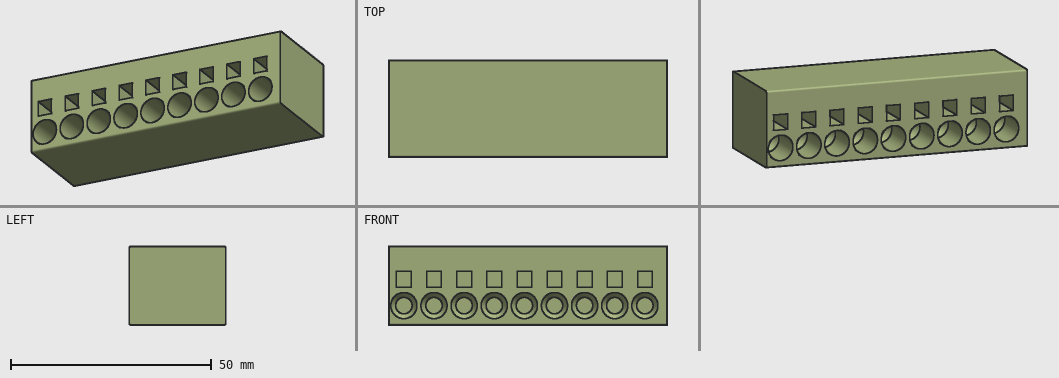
import cadquery as cq
import math

length = 69.3
depth = 24.1
height = 19.6
edge_radius = 0.5

pole_count = 9
end_wall = 1.8
pole_pitch = (length - end_wall) / pole_count
first_pole_x = pole_pitch / 2

bore_diameter = 6.5
cone_floor_diameter = 4.1
bore_depth = 10.0
cone_angle = 30.0
cone_depth = (bore_diameter - cone_floor_diameter) / 2 / math.tan(math.radians(cone_angle))
entry_center_z = 4.85

slot_width = 3.7
slot_height = 3.95
slot_depth = 10.0
slot_center_z = 11.4


def make_housing():
    """Block with its front face on Y = 0 and its four long edges rounded."""
    block = cq.Workplane("XY").box(length, depth, height, centered=False)
    return block.edges("|X").fillet(edge_radius)


def make_wire_entry(center_x):
    """Blind round recess, straight from the front face and narrowed by a cone to a flat floor."""
    profile = (
        cq.Workplane("XY")
        .lineTo(bore_diameter / 2, 0)
        .lineTo(bore_diameter / 2, bore_depth)
        .lineTo(cone_floor_diameter / 2, bore_depth + cone_depth)
        .lineTo(0, bore_depth + cone_depth)
        .close()
    )
    return profile.revolve(360, (0, 0), (0, 1)).translate((center_x, 0, entry_center_z))


def make_slot(center_x):
    """Blind rectangular recess running straight in from the front face."""
    return (
        cq.Workplane("XY")
        .box(slot_width, slot_depth, slot_height, centered=(True, False, True))
        .translate((center_x, 0, slot_center_z))
    )


result = make_housing()
for pole in range(pole_count):
    pole_x = first_pole_x + pole * pole_pitch
    result = result.cut(make_wire_entry(pole_x)).cut(make_slot(pole_x))